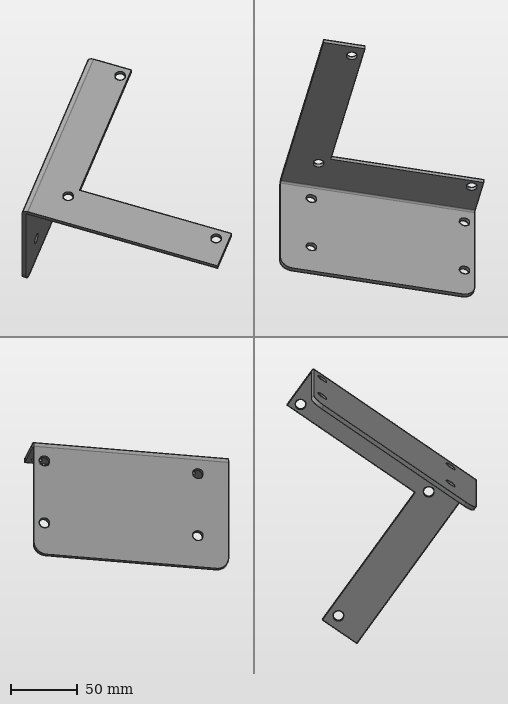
import cadquery as cq

length_x = 155.5
width_y = 149.2
height_z = 92.1
bend_outer_radius = 4.7
bend_inner_radius = 1.46
thickness = bend_outer_radius - bend_inner_radius
arm_width_along_y = 34.7
arm_width_along_x = 31.7
corner_radius = 9.3

hole_diameter = 8.0
hole_near_y = 23.6
hole_pitch = 117.6
hole_far_y = hole_near_y + hole_pitch
arm_hole_x = 28.5
plate_hole_drop = 15.9
plate_hole_upper_z = height_z - plate_hole_drop
plate_hole_pitch_z = 50.7
plate_hole_lower_z = plate_hole_upper_z - plate_hole_pitch_z


def bent_sheet():
    """L-shaped sheet: upright plate at X = 0, flange along the top."""
    sheet = (
        cq.Workplane("XZ")
        .polyline([
            (0, 0),
            (thickness, 0),
            (thickness, height_z - thickness),
            (length_x, height_z - thickness),
            (length_x, height_z),
            (0, height_z),
        ])
        .close()
        .extrude(-width_y)
    )
    sheet = sheet.edges("|Y and <X and >Z").fillet(bend_outer_radius)
    inner_edge = cq.selectors.NearestToPointSelector((thickness, width_y / 2, height_z - thickness))
    return sheet.edges(inner_edge).fillet(bend_inner_radius)


def flange_cutout():
    """Block that leaves the top flange as two arms meeting at a corner."""
    return cq.Workplane("XY").box(
        length_x - arm_width_along_y,
        width_y - arm_width_along_x,
        height_z,
        centered=False,
    ).translate((arm_width_along_y, arm_width_along_x, 0))


def flange_holes():
    """Vertical drills: one at the flange corner and one near each arm end."""
    centres = [
        (arm_hole_x, hole_near_y),
        (arm_hole_x, hole_far_y),
        (arm_hole_x + hole_pitch, hole_near_y),
    ]
    return cq.Workplane("XY").pushPoints(centres).circle(hole_diameter / 2).extrude(height_z)


def plate_holes():
    """Horizontal drills: a rectangle of four through the upright plate."""
    centres = [
        (y, z)
        for y in (hole_near_y, hole_far_y)
        for z in (plate_hole_lower_z, plate_hole_upper_z)
    ]
    return cq.Workplane("YZ").pushPoints(centres).circle(hole_diameter / 2).extrude(thickness)


bracket = bent_sheet().cut(flange_cutout())
bracket = bracket.edges("|X and <Z").fillet(corner_radius)
result = bracket.cut(flange_holes()).cut(plate_holes())